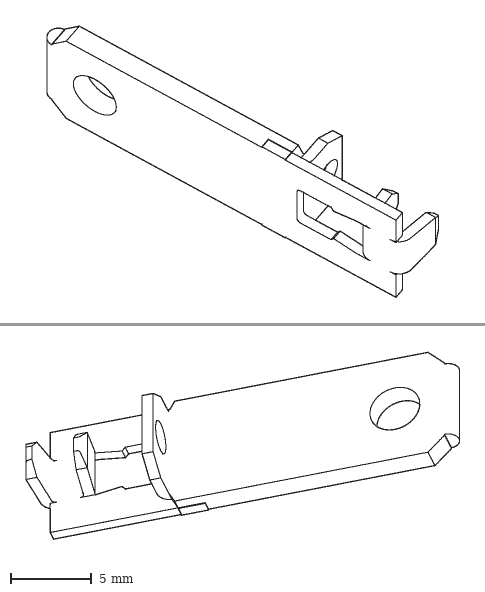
import cadquery as cq
import math

thickness = 0.72
stack_height = 2 * thickness
fold_radius = thickness
fold_width = 5.5
upper_y = thickness

sheet_width = 7.80
lower_end_x = 26.58
upper_end_x = 18.26
corner_chamfer_x = 1.08
corner_chamfer_z = 1.08

hole_diameter = 3.23
hole_x = 3.95

lip_width = 6.35
lip_top_y = 4.62
lip_inner_x = 18.65
lip_outer_x = lip_inner_x + thickness
lip_bend_inner_radius = 0.15
lip_bend_outer_radius = lip_bend_inner_radius + thickness
lip_chamfer_y = 1.57
lip_chamfer_z = 0.90
lip_hole_diameter = 2.10
lip_hole_y = 3.05

bulge_length = 1.76
bulge_width = 7.92
bulge_depth = 0.55

prong_width = 3.25
prong_center_x = 25.38
prong_root_offset = 0.77
prong_bend_inner_radius = 0.27
prong_bend_outer_radius = prong_bend_inner_radius + thickness
prong_bend_angle = 84
prong_top_y = 3.98
prong_neck_y = 3.18
prong_neck_width = 2.75
prong_tip_width = 1.00
prong_tip_thickness = 0.38
prong_tip_radius = 0.18

window_start_x = 19.14
window_corner_radius = 0.30
window_step_start_x = 21.70
window_step_end_x = 21.90
window_step_width = 2.75
window_taper_end_x = 23.60
window_end_x = prong_center_x - prong_root_offset


def mirrored_outline(half_points):
    """Closed outline mirrored across Z = 0, from the points of its +Z half."""
    return half_points + [(along, -z) for along, z in reversed(half_points)]


def extrude_y(points, start_y, height):
    """Prism over an XZ outline from start_y to start_y + height."""
    plane = cq.Workplane("XZ", origin=(0, start_y, 0))
    return plane.polyline(points).close().extrude(-height)


def sheet(start_y, end_x):
    """One layer of the folded strip, with its round hole."""
    half_width = sheet_width / 2
    outline = mirrored_outline([
        (fold_radius, half_width - corner_chamfer_z),
        (fold_radius + corner_chamfer_x, half_width),
        (end_x, half_width),
    ])
    hole = (
        cq.Workplane("XZ", origin=(hole_x, start_y, 0))
        .circle(hole_diameter / 2)
        .extrude(-thickness)
    )
    return extrude_y(outline, start_y, thickness).cut(hole)


def fold_quarter(start_y, end_y):
    """Quarter-round part of the fold, from the outer face at start_y to the shared plane at end_y."""
    diagonal = fold_radius * math.sqrt(0.5)
    arc_mid_y = end_y + (start_y - end_y) * diagonal / fold_radius
    return (
        cq.Workplane("XY")
        .moveTo(fold_radius, start_y)
        .threePointArc((fold_radius - diagonal, arc_mid_y), (0, end_y))
        .lineTo(fold_radius, end_y)
        .close()
        .extrude(fold_width / 2, both=True)
    )


def lip():
    """Upturned end of the upper sheet, with clipped corners and a round hole."""
    half_lip = lip_width / 2
    diagonal = math.sqrt(0.5)
    bend_x = lip_inner_x - lip_bend_inner_radius
    bend_y = stack_height + lip_bend_inner_radius
    inner_mid = (bend_x + lip_bend_inner_radius * diagonal, bend_y - lip_bend_inner_radius * diagonal)
    outer_mid = (bend_x + lip_bend_outer_radius * diagonal, bend_y - lip_bend_outer_radius * diagonal)
    body = (
        cq.Workplane("XY")
        .moveTo(upper_end_x, upper_y)
        .lineTo(bend_x, upper_y)
        .threePointArc(outer_mid, (lip_outer_x, bend_y))
        .lineTo(lip_outer_x, lip_top_y)
        .lineTo(lip_inner_x, lip_top_y)
        .lineTo(lip_inner_x, bend_y)
        .threePointArc(inner_mid, (bend_x, stack_height))
        .lineTo(upper_end_x, stack_height)
        .close()
        .extrude(sheet_width / 2, both=True)
    )
    shoulder = extrude_y(
        mirrored_outline([
            (upper_end_x, sheet_width / 2),
            (lip_inner_x, half_lip),
            (lip_outer_x, half_lip),
        ]),
        upper_y,
        lip_top_y - upper_y,
    )
    face_outline = [
        (upper_y, sheet_width / 2),
        (stack_height + lip_bend_inner_radius, sheet_width / 2),
        (stack_height + lip_bend_inner_radius, half_lip),
        (lip_top_y - lip_chamfer_y, half_lip),
        (lip_top_y, half_lip - lip_chamfer_z),
    ]
    clipped = (
        cq.Workplane("YZ", origin=(upper_end_x, 0, 0))
        .polyline(mirrored_outline(face_outline))
        .close()
        .extrude(lip_outer_x - upper_end_x)
    )
    hole = (
        cq.Workplane("YZ", origin=(upper_end_x, lip_hole_y, 0))
        .circle(lip_hole_diameter / 2)
        .extrude(lip_outer_x - upper_end_x)
    )
    return body.intersect(shoulder).intersect(clipped).cut(hole).clean()


def edge_bulges():
    """Block on each long edge of the lower sheet, standing slightly proud of it in Z."""
    bulges = cq.Workplane("XY")
    for side in (-1, 1):
        block = cq.Workplane("XY").box(bulge_length, thickness, bulge_depth).translate((
            upper_end_x - bulge_length / 2,
            thickness / 2,
            side * (bulge_width - bulge_depth) / 2,
        ))
        bulges = bulges.add(block)
    return bulges


def window():
    """Opening left where the inner prong is bent out, narrowing at a step and widening to its root."""
    half_prong = prong_width / 2
    outline = mirrored_outline([
        (window_start_x, half_prong),
        (window_step_start_x, half_prong),
        (window_step_end_x, window_step_width / 2),
        (window_taper_end_x, half_prong),
        (window_end_x, half_prong),
    ])
    return extrude_y(outline, 0, thickness).edges("|Y and <X").fillet(window_corner_radius)


def prong():
    """Outer (+X) prong: a bend out of the sheet, then a leaning shank with a rounded, narrowed tip."""
    root_x = prong_center_x + prong_root_offset
    bend_y = prong_bend_outer_radius

    def on_bend(radius, degrees):
        angle = math.radians(degrees)
        return (root_x + radius * math.sin(angle), bend_y - radius * math.cos(angle))

    lean = math.radians(prong_bend_angle)
    outer_base = on_bend(prong_bend_outer_radius, prong_bend_angle)
    inner_base = on_bend(prong_bend_inner_radius, prong_bend_angle)

    def along_shank(base, end_y):
        return (base[0] + (end_y - base[1]) / math.tan(lean), end_y)

    outer_neck = along_shank(outer_base, prong_neck_y)
    inner_tip = along_shank(inner_base, prong_top_y)
    outer_tip = (
        inner_tip[0] + prong_tip_thickness * math.sin(lean),
        inner_tip[1] - prong_tip_thickness * math.cos(lean),
    )
    blank = (
        cq.Workplane("XY")
        .moveTo(root_x, 0)
        .threePointArc(on_bend(prong_bend_outer_radius, prong_bend_angle / 2), outer_base)
        .lineTo(*outer_neck)
        .lineTo(*outer_tip)
        .lineTo(*inner_tip)
        .lineTo(*inner_base)
        .threePointArc(on_bend(prong_bend_inner_radius, prong_bend_angle / 2), (root_x, thickness))
        .close()
        .extrude(prong_width / 2, both=True)
    )
    blank = blank.edges(cq.selectors.NearestToPointSelector((*outer_tip, 0))).fillet(prong_tip_radius)
    face_outline = mirrored_outline([
        (0, prong_width / 2),
        (outer_base[1], prong_width / 2),
        (prong_neck_y, prong_neck_width / 2),
        (prong_top_y, prong_tip_width / 2),
    ])
    envelope = (
        cq.Workplane("YZ", origin=(root_x, 0, 0))
        .polyline(face_outline)
        .close()
        .extrude(outer_neck[0] - root_x)
    )
    return blank.intersect(envelope).clean()


def outer_prong_slot():
    """Notch in the end of the lower sheet, where the outer prong bends away."""
    slot_start = prong_center_x + prong_root_offset
    slot_length = lower_end_x - slot_start
    return (
        cq.Workplane("XY")
        .box(slot_length, thickness, prong_width)
        .translate((slot_start + slot_length / 2, thickness / 2, 0))
    )


outer_prong = prong()
inner_prong = outer_prong.mirror("YZ", (prong_center_x, 0, 0))

lower_sheet = sheet(0, lower_end_x).cut(window()).cut(outer_prong_slot())

result = lower_sheet
for feature in (
    edge_bulges(),
    fold_quarter(0, thickness),
    fold_quarter(stack_height, thickness),
    sheet(upper_y, upper_end_x),
    lip(),
    outer_prong,
    inner_prong,
):
    result = result.union(feature, clean=False)